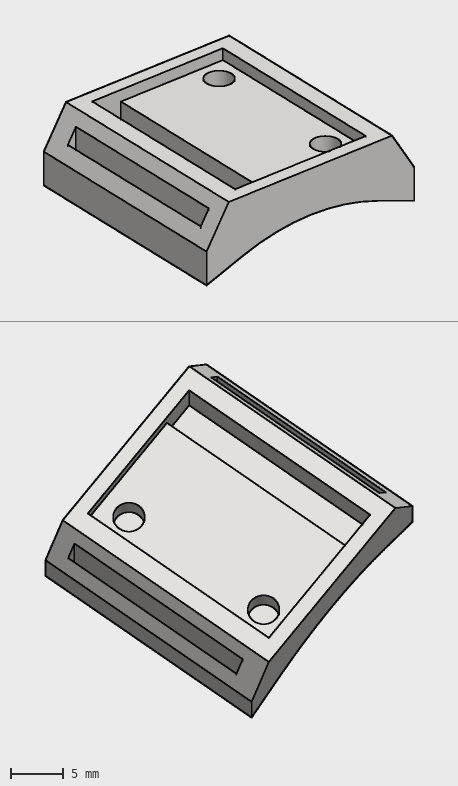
import cadquery as cq
import math

width = 24.5
length = 25.43
height = 8.16
top_length = 20.0
shoulder_drop = 4.45

arch_radius = 24.0
flank_angle = math.radians(20)

side_wall = 1.5
recess_width = width - 2 * side_wall
recess_length = 16.0
recess_depth = 1.3
trench_length = 3.5
trench_depth = 3.5

hole_diameter = 3.0
hole_spacing = 16.0
hole_inset = 2.5

slot_width = 20.0
slot_length = 1.0
slot_inset = 2.5
slot_center_y = 11.3

left_x = -width / 2
recess_left_x = left_x + side_wall
recess_front_y = -recess_length / 2


def make_body():
    """Extrude the YZ profile along X, centred on the origin."""
    half_length = length / 2
    half_top = top_length / 2
    shoulder_z = height - shoulder_drop
    tangent_y = arch_radius * math.sin(flank_angle)
    tangent_z = (half_length - tangent_y) * math.tan(flank_angle)
    apex_z = tangent_z + arch_radius * (1 - math.cos(flank_angle))
    return (
        cq.Workplane("YZ")
        .moveTo(-half_length, 0)
        .lineTo(-tangent_y, tangent_z)
        .threePointArc((0, apex_z), (tangent_y, tangent_z))
        .lineTo(half_length, 0)
        .lineTo(half_length, shoulder_z)
        .lineTo(half_top, height)
        .lineTo(-half_top, height)
        .lineTo(-half_length, shoulder_z)
        .close()
        .extrude(width / 2, both=True)
    )


def top_pocket(pocket_length, depth):
    """Pocket cutter sunk from the top face, starting at the front edge of the recess."""
    return cq.Workplane("XY").box(recess_width, pocket_length, depth, centered=False).translate(
        (recess_left_x, recess_front_y, height - depth)
    )


def floor_holes():
    """Pair of hole cutters near the rear edge of the recess, set out from its left wall."""
    first_x = recess_left_x + hole_inset
    center_y = recess_length / 2 - hole_inset
    return (
        cq.Workplane("XY", origin=(0, 0, height))
        .pushPoints([(first_x, center_y), (first_x + hole_spacing, center_y)])
        .circle(hole_diameter / 2)
        .extrude(-trench_depth)
    )


def strap_slots():
    """Pair of slot cutters through the full height, set out from the left side."""
    center_x = left_x + slot_inset + slot_width / 2
    return (
        cq.Workplane("XY")
        .pushPoints([(center_x, -slot_center_y), (center_x, slot_center_y)])
        .rect(slot_width, slot_length)
        .extrude(height)
    )


result = (
    make_body()
    .cut(top_pocket(recess_length, recess_depth))
    .cut(top_pocket(trench_length, trench_depth))
    .cut(floor_holes())
    .cut(strap_slots())
)